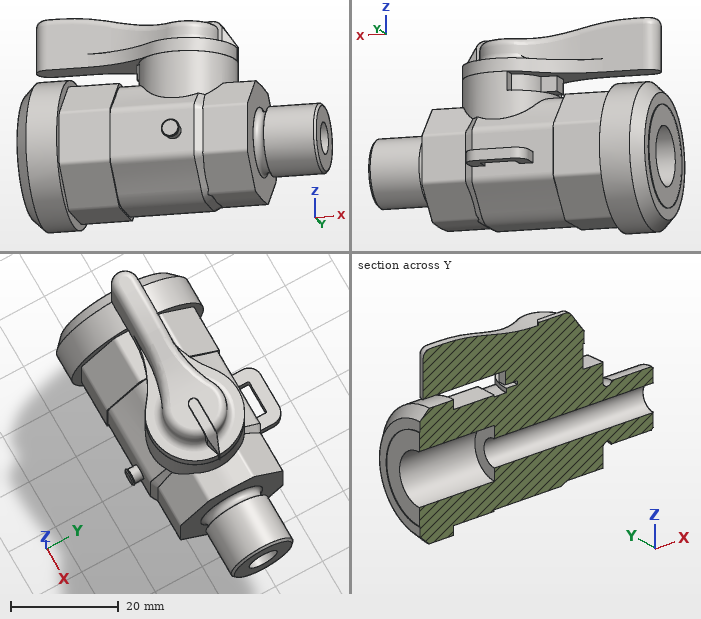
import cadquery as cq
import math

seal_face_x = 0.15
collar_end_x = 8.3
inlet_end_x = 18.0
middle_end_x = 34.0
taper_length = 1.5
outlet_end_x = 44.0
total_length = 56.0

collar_radius = 14.0
collar_chamfer_length = 2.25
collar_chamfer_depth = 2.1
seal_diameter = 19.4

inlet_across_flats = 23.95
octagon_edge_radius = 1.0

middle_half_width = 11.7
middle_half_height = 11.65
middle_side_corner = 5.0
middle_top_corner = 4.9
middle_side_radius = 2.0
middle_top_radius = 5.0
middle_hollow = 0.2

outlet_half_width = 10.9
outlet_side_corner = 4.55
outlet_top_corner = 4.75
outlet_draft = 3.0
outlet_crown_radius = 20.0
outlet_corner_z = outlet_half_width + outlet_side_corner - outlet_top_corner
outlet_crown_z = outlet_corner_z + outlet_top_corner * math.tan(math.radians(outlet_draft))
taper_angle = math.degrees(math.atan2(middle_half_width - outlet_half_width, taper_length))

spigot_radius = 13.15 / 2
spigot_chamfer = 0.45
groove_radius = 1.0
groove_floor_radius = 11.4 / 2
socket_diameter = 11.4
socket_depth = inlet_end_x
bore_diameter = 6.0

pin_diameter = 3.0
pin_head_diameter = 3.4
pin_end_y = -14.05
pin_head_length = 0.5

fitting_embed = 0.55
loop_width = 12.0
loop_bar = 2.6
loop_end_y = 17.1
loop_root_y = middle_half_width - fitting_embed
loop_thickness = 2.1
loop_corner_radius = 2.5
loop_window_radius = 0.3

stem_x = 30.0
stem_diameter = 18.4
stem_radius = stem_diameter / 2
stem_top_z = 16.1
notch_floor_z = 12.55
notch_core_radius = 6.55
stop_width = 3.7
stop_reach = 9.4
stop_bottom_z = 13.2
stop_clearance = 0.15

plate_radius = 9.25
plate_top_z = 18.65
plate_blend_radius = 20.0
grip_half_width = 2.6
grip_end_x = 0.95
grip_end_center_x = grip_end_x + grip_half_width
grip_blend_radius = 25.05
grip_top_z = 26.2
hub_radius = 6.0
hub_top_z = 23.2
handle_fillet = 1.5
slope_start_x = 10.0
slope_end_x = 24.0
back_bend_radius = 40.0

pointer_half_width = 1.0
pointer_start_x = 28.55
pointer_shoulder_x = 36.6
pointer_tip_x = 39.55
pointer_top_z = 23.75
pointer_slope_x = 35.9
pointer_bend_radius = 2.0


def fillet_long_edges(bar, radius, is_wanted):
    """Round the edges along X whose centre passes the given test."""
    return bar.edges("|X").filter(lambda edge: is_wanted(edge.Center())).fillet(radius)


def inlet_body():
    """Regular octagonal bar with flats facing Y and Z and rounded edges."""
    across_corners = inlet_across_flats / math.cos(math.pi / 8)
    bar = (
        cq.Workplane("YZ", origin=(collar_end_x, 0, 0))
        .transformed(rotate=(0, 0, 22.5))
        .polygon(8, across_corners)
        .extrude(inlet_end_x - collar_end_x)
    )
    return bar.edges("|X").fillet(octagon_edge_radius)


def middle_body():
    """Softened octagon with slightly hollow slanted faces and a short taper toward the outlet."""
    side_y, side_z = middle_half_width, middle_side_corner
    top_y, top_z = middle_top_corner, middle_half_height
    inset = middle_hollow * math.sqrt(0.5)
    slant_y = (side_y + top_y) / 2 - inset
    slant_z = (side_z + top_z) / 2 - inset
    bar = (
        cq.Workplane("YZ", origin=(inlet_end_x, 0, 0))
        .moveTo(side_y, -side_z)
        .lineTo(side_y, side_z)
        .threePointArc((slant_y, slant_z), (top_y, top_z))
        .lineTo(-top_y, top_z)
        .threePointArc((-slant_y, slant_z), (-side_y, side_z))
        .lineTo(-side_y, -side_z)
        .threePointArc((-slant_y, -slant_z), (-top_y, -top_z))
        .lineTo(top_y, -top_z)
        .threePointArc((slant_y, -slant_z), (side_y, -side_z))
        .close()
        .extrude(middle_end_x - inlet_end_x)
    )
    bar = fillet_long_edges(bar, middle_side_radius, lambda center: abs(center.y) > slant_y)
    bar = fillet_long_edges(bar, middle_top_radius, lambda center: abs(center.z) > slant_z)
    taper = (
        bar.faces(">X")
        .wires()
        .toPending()
        .workplane()
        .extrude(taper_length, combine=False, taper=taper_angle)
    )
    return bar.union(taper)


def outlet_body():
    """Octagonal bar whose top and bottom faces are drafted from a rounded crown."""
    upper_half = [
        (outlet_half_width, outlet_side_corner),
        (outlet_top_corner, outlet_corner_z),
        (0, outlet_crown_z),
        (-outlet_top_corner, outlet_corner_z),
        (-outlet_half_width, outlet_side_corner),
    ]
    lower_half = [(-y, -z) for y, z in upper_half]
    bar = (
        cq.Workplane("YZ", origin=(middle_end_x, 0, 0))
        .polyline(upper_half + lower_half)
        .close()
        .extrude(outlet_end_x - middle_end_x)
    )
    crown_limit = outlet_top_corner / 2
    bar = fillet_long_edges(bar, octagon_edge_radius, lambda center: abs(center.y) > crown_limit)
    return fillet_long_edges(bar, outlet_crown_radius, lambda center: abs(center.y) < crown_limit)


def turned_parts():
    """Collar with its sealing ring, the relief groove and the outlet spigot."""
    collar = (
        cq.Workplane("XY")
        .moveTo(seal_face_x, 0)
        .lineTo(seal_face_x, collar_radius - collar_chamfer_depth)
        .lineTo(seal_face_x + collar_chamfer_length, collar_radius)
        .lineTo(collar_end_x, collar_radius)
        .lineTo(collar_end_x, 0)
        .close()
        .revolve(360, (0, 0, 0), (1, 0, 0))
    )
    seal = cq.Workplane("YZ").circle(seal_diameter / 2).extrude(collar_end_x)
    spigot = (
        cq.Workplane("YZ", origin=(outlet_end_x, 0, 0))
        .circle(spigot_radius)
        .extrude(total_length - outlet_end_x)
        .faces(">X")
        .chamfer(spigot_chamfer)
    )
    groove_center_r = groove_floor_radius + groove_radius
    groove = (
        cq.Workplane("XY", origin=(outlet_end_x + groove_radius, 0, 0))
        .moveTo(0, groove_center_r)
        .circle(groove_radius)
        .revolve(360, (0, 0, 0), (1, 0, 0))
    )
    return collar.union(seal).union(spigot.cut(groove))


def passage():
    """Through bore with the wider inlet socket."""
    bore = cq.Workplane("YZ").circle(bore_diameter / 2).extrude(total_length)
    socket = cq.Workplane("YZ").circle(socket_diameter / 2).extrude(socket_depth)
    return bore.union(socket)


def pin():
    """Pin on the -Y flat, with a double-bevelled head."""
    root_y = fitting_embed - middle_half_width
    head_middle_y = pin_end_y + pin_head_length / 2
    return (
        cq.Workplane("XY")
        .moveTo(stem_x, root_y)
        .lineTo(stem_x + pin_diameter / 2, root_y)
        .lineTo(stem_x + pin_diameter / 2, pin_end_y + pin_head_length)
        .lineTo(stem_x + pin_head_diameter / 2, head_middle_y)
        .lineTo(stem_x + pin_diameter / 2, pin_end_y)
        .lineTo(stem_x, pin_end_y)
        .close()
        .revolve(360, (stem_x, 0, 0), (stem_x, 1, 0))
    )


def loop_block(width, end_y, corner_radius):
    """Flat block reaching from inside the body to end_y, with two rounded outer corners."""
    center_x = middle_end_x - loop_width / 2
    return (
        cq.Workplane("XY", origin=(center_x - width / 2, loop_root_y, -loop_thickness))
        .rect(width, end_y - loop_root_y, centered=False)
        .extrude(loop_thickness)
        .edges("|Z and >Y")
        .fillet(corner_radius)
    )


def loop():
    """Flat rectangular eye on the +Y flat, ending level with the middle section."""
    outer = loop_block(loop_width, loop_end_y, loop_corner_radius)
    window_width = loop_width - 2 * loop_bar
    return outer.cut(loop_block(window_width, loop_end_y - loop_bar, loop_window_radius))


def stem():
    """Round stem with a quarter-turn notch for the stop tab of the handle."""
    axis = cq.Workplane("XY").center(stem_x, 0)
    column = axis.circle(stem_radius).extrude(stem_top_z)
    notch_depth = stem_top_z - notch_floor_z
    edge_offset = stop_width / 2 + stop_clearance
    notch = (
        cq.Workplane("XY", origin=(stem_x - edge_offset, -edge_offset, notch_floor_z))
        .rect(-stem_diameter, stem_diameter, centered=False)
        .extrude(notch_depth)
    )
    core = axis.workplane(offset=notch_floor_z).circle(notch_core_radius).extrude(notch_depth)
    return column.cut(notch.cut(core))


def lever_outline(base_z, round_radius, blend_radius):
    """Closed plan outline: round end at the stem, blended by arcs into a straight, round-ended tail."""
    blend_y = grip_half_width + blend_radius
    center_distance = round_radius + blend_radius
    blend_x = stem_x - math.sqrt(center_distance**2 - blend_y**2)
    share = round_radius / center_distance
    join_x = stem_x + (blend_x - stem_x) * share
    join_y = blend_y * share
    half_turn = math.atan2(stem_x - blend_x, blend_y) / 2
    middle_x = blend_x + blend_radius * math.sin(half_turn)
    middle_y = blend_y - blend_radius * math.cos(half_turn)
    return (
        cq.Workplane("XY", origin=(0, 0, base_z))
        .moveTo(grip_end_center_x, grip_half_width)
        .lineTo(blend_x, grip_half_width)
        .threePointArc((middle_x, middle_y), (join_x, join_y))
        .threePointArc((stem_x + round_radius, 0), (join_x, -join_y))
        .threePointArc((middle_x, -middle_y), (blend_x, -grip_half_width))
        .lineTo(grip_end_center_x, -grip_half_width)
        .threePointArc((grip_end_x, 0), (grip_end_center_x, grip_half_width))
        .close()
    )


def grip():
    """Raised lever and hub under a smoothly sloping back with rounded top edges."""
    drop = grip_top_z - hub_top_z
    angle = math.atan2(drop, slope_end_x - slope_start_x)
    tangent = back_bend_radius * math.tan(angle / 2)
    step_x = tangent * math.cos(angle)
    step_z = tangent * math.sin(angle)
    end_x = stem_x + stem_radius
    side = (
        cq.Workplane("XZ", origin=(0, stem_radius, 0))
        .moveTo(0, stem_top_z)
        .lineTo(0, grip_top_z)
        .lineTo(slope_start_x - tangent, grip_top_z)
        .tangentArcPoint((slope_start_x + step_x, grip_top_z - step_z), relative=False)
        .lineTo(slope_end_x - step_x, hub_top_z + step_z)
        .tangentArcPoint((slope_end_x + tangent, hub_top_z), relative=False)
        .lineTo(end_x, hub_top_z)
        .lineTo(end_x, stem_top_z)
        .close()
        .extrude(stem_diameter)
    )
    lever = lever_outline(stem_top_z, hub_radius, grip_blend_radius)
    lever = lever.extrude(grip_top_z - stem_top_z).intersect(side)
    return lever.faces("+Z").faces("<X").edges("<X").fillet(handle_fillet)


def hub_flare():
    """Concave ring where the hub meets the handle plate."""
    flare_radius = hub_radius + handle_fillet
    flare_top_z = plate_top_z + handle_fillet
    bend = handle_fillet * (1 - math.sqrt(0.5))
    return (
        cq.Workplane("XZ")
        .moveTo(stem_x, plate_top_z)
        .lineTo(stem_x + flare_radius, plate_top_z)
        .threePointArc(
            (stem_x + hub_radius + bend, plate_top_z + bend), (stem_x + hub_radius, flare_top_z)
        )
        .lineTo(stem_x, flare_top_z)
        .close()
        .revolve(360, (stem_x, 0, 0), (stem_x, 1, 0))
    )


def pointer():
    """Raised rib on the hub that slopes down to a point at the plate edge."""
    plan = (
        cq.Workplane("XY", origin=(0, 0, stem_top_z))
        .moveTo(pointer_start_x + pointer_half_width, pointer_half_width)
        .lineTo(pointer_shoulder_x, pointer_half_width)
        .lineTo(pointer_tip_x, 0)
        .lineTo(pointer_shoulder_x, -pointer_half_width)
        .lineTo(pointer_start_x + pointer_half_width, -pointer_half_width)
        .threePointArc(
            (pointer_start_x, 0), (pointer_start_x + pointer_half_width, pointer_half_width)
        )
        .close()
        .extrude(pointer_top_z - stem_top_z)
    )
    side = (
        cq.Workplane("XZ", origin=(0, pointer_half_width, 0))
        .moveTo(pointer_start_x, stem_top_z)
        .lineTo(pointer_start_x, pointer_top_z)
        .lineTo(pointer_slope_x, pointer_top_z)
        .lineTo(pointer_tip_x, plate_top_z)
        .lineTo(pointer_tip_x, stem_top_z)
        .close()
        .extrude(2 * pointer_half_width)
    )
    side = side.faces(">Z").edges(">X").fillet(pointer_bend_radius)
    return plan.intersect(side)


def handle():
    """Plate, grip, hub flare, pointer and the stop tab hanging into the notch."""
    plate = lever_outline(stem_top_z, plate_radius, plate_blend_radius)
    plate = plate.extrude(plate_top_z - stem_top_z)
    stop = (
        cq.Workplane("XY", origin=(stem_x - stop_reach, -stop_width / 2, stop_bottom_z))
        .rect(stop_reach, stop_width, centered=False)
        .extrude(plate_top_z - stop_bottom_z)
    )
    return plate.union(grip()).union(hub_flare()).union(pointer()).union(stop)


body = turned_parts()
body = body.union(inlet_body())
body = body.union(middle_body())
body = body.union(outlet_body())
body = body.union(pin()).union(loop()).union(stem()).union(handle())
result = body.cut(passage())